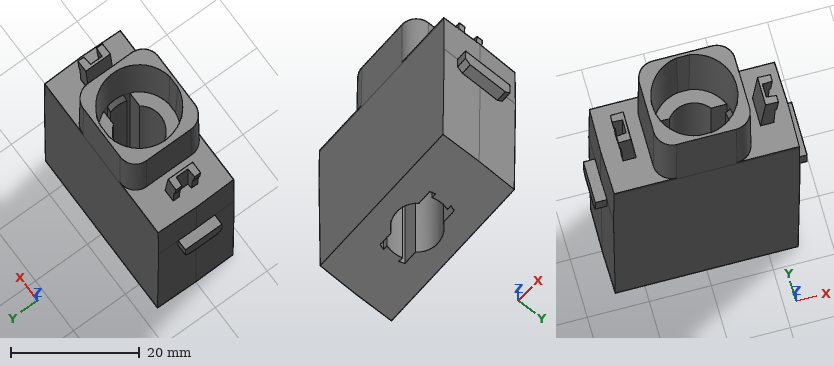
import cadquery as cq

total_height = 57.6
body_top = 43.3
parting_z = 31.4
rim_height = 0.5

body_half_depth = 7.285
crease_half_width = 15.1
crease_half_width_bottom = 14.85
corner_half_width = 15.05
corner_half_width_top = 14.9
corner_half_width_bottom = 14.75

tower_half_width = 7.85
tower_half_width_top = 7.7
tower_half_depth_top = 7.2
tower_corner_radius = 2.95

bore_radius = 6.77
bore_radius_floor = 6.42
bore_half_depth = 6.7
bore_half_depth_floor = 6.365

hole_diameter = 8.35
slot_width = 5.0
rib_width = 3.15
rib_inner_radius = 5.65
rib_ramp_height = 1.15

tab_reach = 16.95
tab_root = 14.3
tab_height = 3.8
tab_chamfer = 1.0
left_tab_width = 7.0
right_tab_width = 9.1

clip_top = 51.85
clip_top_drop = 0.2
clip_width = 4.7
clip_inner_x_top = 10.8
clip_inner_x_base = 10.0
clip_outer_x_top = 12.9
clip_outer_x_base = 12.15
hook_z = 48.9
hook_x = 12.7
hook_step_height = 0.6
hook_step_x = 12.4
channel_floor_x = 11.3
channel_floor_width = 2.2
channel_mouth_width = 2.5

rim_z = body_top - rim_height


def body_section(z, corner_x, crease_x):
    """Closed six-sided outline of the body at height z."""
    return (
        cq.Workplane("XY", origin=(0, 0, z))
        .polyline(
            [
                (-corner_x, -body_half_depth),
                (corner_x, -body_half_depth),
                (crease_x, 0),
                (corner_x, body_half_depth),
                (-corner_x, body_half_depth),
                (-crease_x, 0),
            ]
        )
        .close()
        .wire()
        .val()
    )


def make_body():
    bottom = body_section(0, corner_half_width_bottom, crease_half_width_bottom)
    parting = body_section(parting_z, corner_half_width, crease_half_width)
    top = body_section(body_top, corner_half_width_top, crease_half_width)
    lower = cq.Workplane(cq.Solid.makeLoft([bottom, parting], True))
    upper = cq.Workplane(cq.Solid.makeLoft([parting, top], True))

    draft_envelope = (
        cq.Workplane("YZ")
        .polyline(
            [
                (-body_half_depth, 0),
                (body_half_depth, 0),
                (body_half_depth, rim_z),
                (tower_half_depth_top, total_height),
                (-tower_half_depth_top, total_height),
                (-body_half_depth, rim_z),
            ]
        )
        .close()
        .extrude(crease_half_width, both=True)
    )
    return lower.union(upper).intersect(draft_envelope)


def make_tower():
    def section(z, half_width, half_depth):
        outline = cq.Sketch().rect(2 * half_width, 2 * half_depth)
        return outline.vertices().fillet(tower_corner_radius).moved(cq.Location(cq.Vector(0, 0, z)))

    base = section(rim_z, tower_half_width, body_half_depth)
    top = section(total_height, tower_half_width_top, tower_half_depth_top)
    return cq.Workplane().placeSketch(base, top).loft(ruled=True)


def make_bore():
    depth = total_height - body_top
    cone = cq.Workplane(
        cq.Solid.makeCone(bore_radius_floor, bore_radius, depth, pnt=cq.Vector(0, 0, body_top))
    )
    flats = (
        cq.Workplane("YZ")
        .polyline(
            [
                (-bore_half_depth_floor, body_top),
                (bore_half_depth_floor, body_top),
                (bore_half_depth, total_height),
                (-bore_half_depth, total_height),
            ]
        )
        .close()
        .extrude(bore_radius, both=True)
    )
    return cone.intersect(flats)


def make_passage():
    """Round hole crossed by a slot, narrowed by a rib with a conical top at each end of the slot."""
    hole = cq.Workplane("XY").circle(hole_diameter / 2).extrude(body_top)
    slot_box = cq.Workplane("XY").rect(2 * bore_radius, slot_width).extrude(body_top)
    slot = cq.Workplane("XY").circle(bore_radius_floor).extrude(body_top).intersect(slot_box)
    ramp_z = body_top - rib_ramp_height
    ramp = cq.Workplane(
        cq.Solid.makeCone(rib_inner_radius, bore_radius_floor, rib_ramp_height, pnt=cq.Vector(0, 0, ramp_z))
    )
    core = cq.Workplane("XY").circle(rib_inner_radius).extrude(ramp_z)
    ribs = cq.Workplane("XY").rect(2 * bore_radius, rib_width).extrude(body_top).cut(core).cut(ramp)
    return hole.union(slot.cut(ribs))


def make_tab(side, width):
    """Latch tab with both lower edges chamfered; side is -1 or 1 along X."""
    tab_length = tab_reach - tab_root
    center_x = side * (tab_reach - tab_length / 2)
    return (
        cq.Workplane("XY")
        .box(tab_length, width, tab_height)
        .edges("|X and <Z")
        .chamfer(tab_chamfer)
        .translate((center_x, 0, parting_z - tab_height / 2))
    )


def make_clip():
    """Leaning clip on the +X side, with an upright channel down its outer face."""
    clip = (
        cq.Workplane("XZ")
        .polyline(
            [
                (clip_inner_x_base, body_top),
                (clip_outer_x_base, body_top),
                (hook_step_x, hook_z - hook_step_height),
                (hook_x, hook_z),
                (clip_outer_x_top, clip_top - clip_top_drop),
                (clip_inner_x_top, clip_top),
            ]
        )
        .close()
        .extrude(clip_width / 2, both=True)
    )

    channel = (
        cq.Workplane("XY", origin=(0, 0, body_top))
        .polyline(
            [
                (channel_floor_x, -channel_floor_width / 2),
                (clip_outer_x_top, -channel_mouth_width / 2),
                (clip_outer_x_top, channel_mouth_width / 2),
                (channel_floor_x, channel_floor_width / 2),
            ]
        )
        .close()
        .extrude(clip_top - body_top)
    )
    return clip.cut(channel)


clip = make_clip()
result = (
    make_body()
    .union(make_tower())
    .union(make_tab(-1, left_tab_width))
    .union(make_tab(1, right_tab_width))
    .union(clip)
    .union(clip.mirror("YZ"))
    .cut(make_bore())
    .cut(make_passage())
)